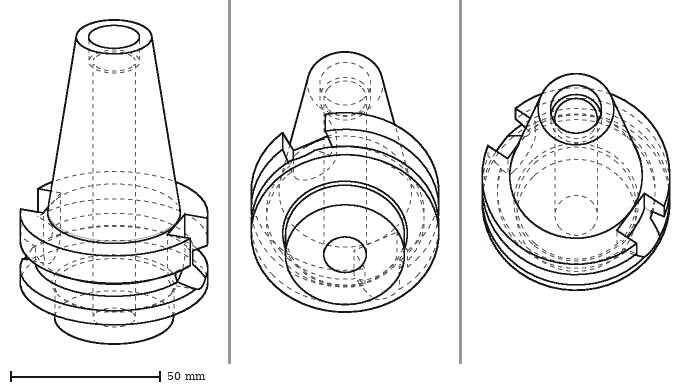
import cadquery as cq
import math

total_height = 105.4
flange_bottom = 13.1
groove_bottom = 21.3
groove_top = 25.8
flange_top = 39.0
gauge_height = 39.9

nose_diameter = 39.9
flange_diameter = 63.0
groove_diameter = 53.0
gauge_diameter = 44.5
mouth_diameter = 17.1
bore_diameter = 14.2

nose_chamfer = 1.0
groove_wall_angle = 30.0
taper_ratio = 7 / 24
mouth_depth = 9.2

slot_width = 16.1
slot_bottom = 17.1
slot_floor_spacing = 44.7


def revolved_body():
    """Nose, grooved flange and tapered shank as one turned profile."""
    nose_radius = nose_diameter / 2
    flange_radius = flange_diameter / 2
    groove_radius = groove_diameter / 2
    gauge_radius = gauge_diameter / 2
    groove_wall_rise = (flange_radius - groove_radius) * math.tan(math.radians(groove_wall_angle))
    shank_end_radius = gauge_radius - taper_ratio * (total_height - gauge_height) / 2
    profile = [
        (0, 0),
        (nose_radius, 0),
        (nose_radius, flange_bottom - nose_chamfer),
        (nose_radius + nose_chamfer, flange_bottom),
        (flange_radius, flange_bottom),
        (flange_radius, groove_bottom - groove_wall_rise),
        (groove_radius, groove_bottom),
        (groove_radius, groove_top),
        (flange_radius, groove_top + groove_wall_rise),
        (flange_radius, flange_top),
        (gauge_radius, flange_top),
        (gauge_radius, gauge_height),
        (shank_end_radius, total_height),
        (0, total_height),
    ]
    return cq.Workplane("XZ").polyline(profile).close().revolve(360, (0, 0), (0, 1))


def drive_slot(side):
    """Round-bottomed slot cutter, open at the flange top, on the +X (1) or -X (-1) side."""
    half_width = slot_width / 2
    arc_center_height = slot_bottom + half_width
    return (
        cq.Workplane("YZ", origin=(side * slot_floor_spacing / 2, 0, 0))
        .moveTo(-half_width, flange_top)
        .lineTo(-half_width, arc_center_height)
        .threePointArc((0, slot_bottom), (half_width, arc_center_height))
        .lineTo(half_width, flange_top)
        .close()
        .extrude(side * flange_diameter / 2)
    )


result = revolved_body()

for side in (-1, 1):
    result = result.cut(drive_slot(side))

result = (
    result.faces(">Z")
    .workplane(origin=(0, 0, total_height))
    .cboreHole(bore_diameter, mouth_diameter, mouth_depth)
)